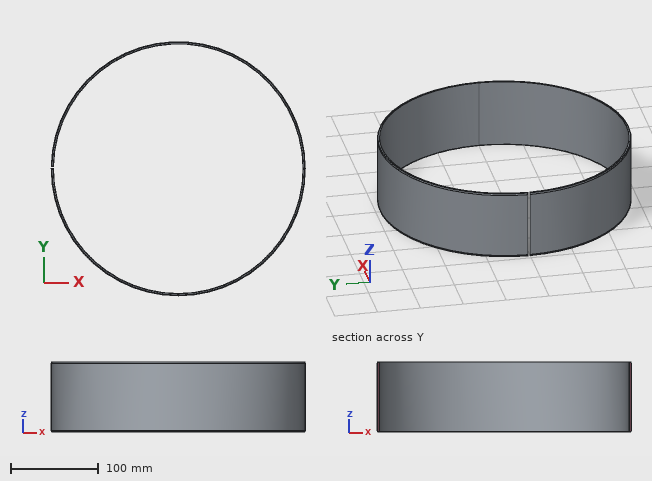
import cadquery as cq

outer_diameter = 290.0
height = 80.0
wall = 2.5

bevel_height = 1.7
bevel_depth = 0.65

slit_width = 2.5
slit_center_y = slit_width / 2

outer_radius = outer_diameter / 2
inner_radius = outer_radius - wall
rim_radius = outer_radius - bevel_depth
half_height = height / 2
bevel_start = half_height - bevel_height


def make_band():
    """Revolve the wall section, with both outer corners bevelled, about Z."""
    section = [
        (inner_radius, -half_height),
        (rim_radius, -half_height),
        (outer_radius, -bevel_start),
        (outer_radius, bevel_start),
        (rim_radius, half_height),
        (inner_radius, half_height),
    ]
    return cq.Workplane("XZ").polyline(section).close().revolve(360, (0, 0), (0, 1))


def make_slit():
    """Full-height cutter that opens the band at its -X side."""
    slit_length = 4 * wall
    return cq.Workplane("XY").box(slit_length, slit_width, height).translate((-outer_radius, slit_center_y, 0))


result = make_band().cut(make_slit())